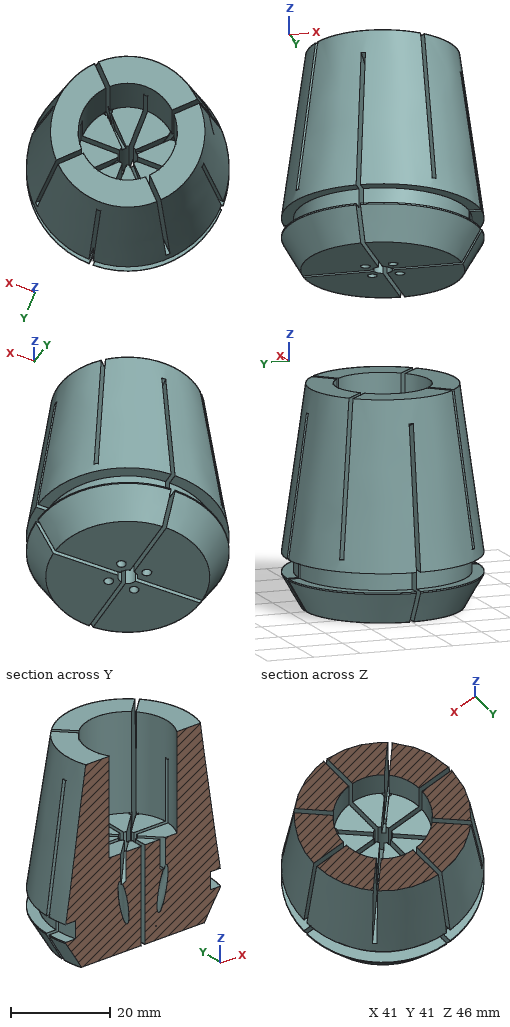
import math

import cadquery as cq

TOTAL_HEIGHT = 46.0
BODY_RADIUS = 20.5
TAPER_ANGLE = 8.0
NOSE_ANGLE = 30.0
GROOVE_RADIUS = 18.05
GROOVE_BOTTOM = 7.1
GROOVE_TOP = 11.1
RIM_HEIGHT = 0.3

TOOL_HOLE_RADIUS = 2.0
BORE_RADIUS = 10.0
BORE_FLOOR = 22.8

SLOT_WIDTH = 0.9
SLOT_COUNT = 4
BLADE_RADIUS = 18.0
NOSE_SLOT_END = 41.0
NOSE_BLADE_OFFSET = 22.2
TOP_SLOT_END = 13.5
TOP_BLADE_OFFSET = 16.5

JET_DIAMETER = 1.9
JET_ANGLE = 15.0
JET_EXIT_RADIUS = 4.05

SLOT_REACH = BODY_RADIUS + 1.0
SLOT_PITCH = 360.0 / SLOT_COUNT


def taper_radius(height):
    """Outer radius of the clamping taper at a height."""
    return BODY_RADIUS - (height - GROOVE_TOP) * math.tan(math.radians(TAPER_ANGLE))


def blade_rise(radius, offset):
    """Height of the blade edge above the blade centre at a distance from the axis."""
    return math.sqrt(BLADE_RADIUS**2 - (radius - offset) ** 2)


def make_body():
    """Turned collet blank with its stepped bore."""
    rim_bottom = GROOVE_BOTTOM - RIM_HEIGHT
    nose_radius = BODY_RADIUS - rim_bottom * math.tan(math.radians(NOSE_ANGLE))
    outline = [
        (TOOL_HOLE_RADIUS, 0),
        (nose_radius, 0),
        (BODY_RADIUS, rim_bottom),
        (BODY_RADIUS, GROOVE_BOTTOM),
        (GROOVE_RADIUS, GROOVE_BOTTOM),
        (GROOVE_RADIUS, GROOVE_TOP),
        (BODY_RADIUS, GROOVE_TOP),
        (taper_radius(TOTAL_HEIGHT), TOTAL_HEIGHT),
        (BORE_RADIUS, TOTAL_HEIGHT),
        (BORE_RADIUS, BORE_FLOOR),
        (TOOL_HOLE_RADIUS, BORE_FLOOR),
    ]
    return cq.Workplane("XZ").polyline(outline).close().revolve(360, (0, 0), (0, 1))


def make_slot(open_height, end_height, blade_offset):
    """Slot along +X, from its open end to the blade arc that meets the taper at end_height."""
    side = math.copysign(1, end_height - open_height)
    exit_rise = blade_rise(taper_radius(end_height), blade_offset)
    blade_height = end_height - side * exit_rise

    def arc_point(radius):
        return (radius, blade_height + side * blade_rise(radius, blade_offset))

    inner_radius = max(0.0, blade_offset - BLADE_RADIUS)
    profile = (
        cq.Workplane("XZ")
        .moveTo(inner_radius, open_height)
        .lineTo(SLOT_REACH, open_height)
        .lineTo(*arc_point(SLOT_REACH))
        .threePointArc(arc_point((SLOT_REACH + inner_radius) / 2), arc_point(inner_radius))
        .close()
    )
    return profile.extrude(SLOT_WIDTH / 2, both=True)


def make_nose_slot():
    """Nose slot, carried on to the axis below the blade arc."""
    core = cq.Workplane("XY").box(BORE_RADIUS, SLOT_WIDTH, BORE_FLOOR, centered=(False, True, False))
    return make_slot(0, NOSE_SLOT_END, NOSE_BLADE_OFFSET).union(core)


def make_jet():
    """Inclined hole in the XZ plane, from below the bottom face to the floor of the bore."""
    lean = math.tan(math.radians(JET_ANGLE))
    length = BORE_FLOOR / math.cos(math.radians(JET_ANGLE))
    start = cq.Vector(JET_EXIT_RADIUS, 0, 0)
    axis = cq.Vector(lean, 0, 1).normalized()
    overrun = JET_DIAMETER
    hole = cq.Solid.makeCylinder(JET_DIAMETER / 2, length + overrun, start - axis * overrun, axis)
    return cq.Workplane(obj=hole)


def cut_around(body, cutter, first_angle):
    """Cut the body with copies of a cutter spaced evenly about Z."""
    for index in range(SLOT_COUNT):
        angle = first_angle + index * SLOT_PITCH
        body = body.cut(cutter.rotate((0, 0, 0), (0, 0, 1), angle))
    return body


result = make_body()
result = cut_around(result, make_nose_slot(), 0)
result = cut_around(result, make_slot(TOTAL_HEIGHT, TOP_SLOT_END, TOP_BLADE_OFFSET), SLOT_PITCH / 2)
result = cut_around(result, make_jet(), SLOT_PITCH / 2)